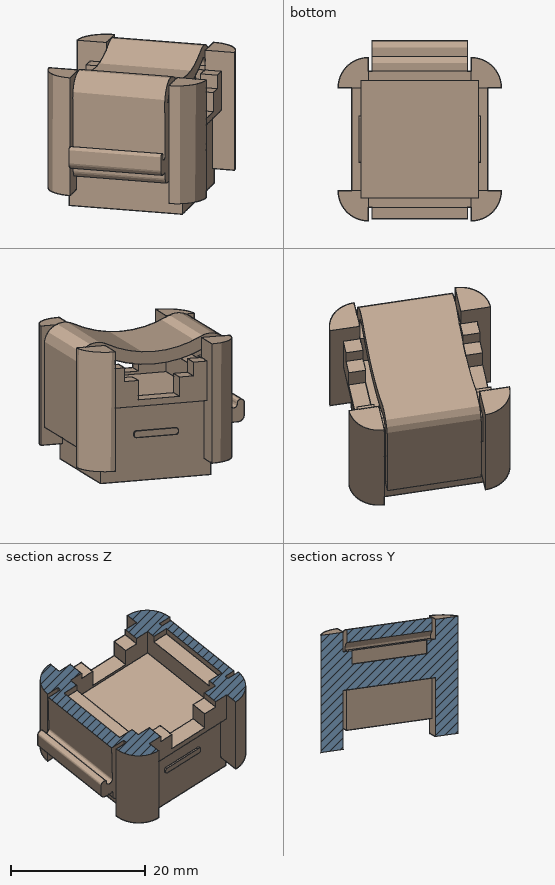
import cadquery as cq
import math

overall_width = 24.3
overall_length = 26.78

base_half = 8.73
latch_length = 6.95
latch_height = 1.02
latch_bottom = 6.61
latch_reach = 0.27
latch_corner = 0.37

collar_half = 10.12
collar_bottom = 11.68
collar_top = 17.7
cavity_half_x = 7.55
cavity_half_y = 7.63
cavity_floor = 12.25
step_level = 15.6
step_half_width = 5.44
notch_level = 12.67
notch_half_width = 3.27
end_notch_half_width = 6.15
cut_clearance = 0.27

post_corner = 7.63
post_outer = overall_width / 2
post_bottom = 2.55
post_top = 20.75

strap_width = 14.2
strap_top = 21.18
strap_thickness = 1.9
saddle_radius = 16.87
front_bend_y = -9.25
front_bend_radius = 3.32
back_bend_y = 8.65
back_bend_radius = 3.15
leg_bottom = 5.44
leg_foot_y = -12.27
leg_end_radius = 1.0

hook_outer_y = post_outer - overall_length
hook_bottom = 7.28
hook_corner_radius = 1.05
hook_tip_radius = 0.55
hook_tip_z = 10.15
groove_z = 10.05
groove_inner_y = -12.37


def block(half_x, half_y, bottom, top):
    """Box centred on the Z axis between two heights."""
    return cq.Workplane("XY").workplane(offset=bottom).rect(2 * half_x, 2 * half_y).extrude(top - bottom)


def across_strap(outline):
    """Extrude a closed YZ outline symmetrically over the strap width."""
    return outline.extrude(strap_width / 2, both=True)


def point_on(centre, radius, angle):
    """Point of a circle at an angle from its first axis."""
    return centre[0] + radius * math.cos(angle), centre[1] + radius * math.sin(angle)


def make_base():
    """Solid base with a low rounded latch bar on its -X and +X faces."""
    base = block(base_half, base_half, 0, collar_bottom)
    latches = block(base_half + latch_reach, latch_length / 2, latch_bottom, latch_bottom + latch_height)
    return base.union(latches.edges("|X").fillet(latch_corner))


def make_collar():
    """Open collar with stepped notches across X and plain notches across Y."""
    clear_top = collar_top + cut_clearance
    through = collar_half + cut_clearance
    return (
        block(collar_half, collar_half, collar_bottom, collar_top)
        .cut(block(cavity_half_x, cavity_half_y, cavity_floor, clear_top))
        .cut(block(through, step_half_width, step_level, clear_top))
        .cut(block(through, notch_half_width, notch_level, clear_top))
        .cut(block(end_notch_half_width, through, step_level, clear_top))
    )


def make_post(side_x, side_y):
    """Quarter cylinder whose square corner faces the Z axis."""
    radius = post_outer - post_corner
    centre_x = side_x * post_corner
    centre_y = side_y * post_corner
    arc_reach = radius * math.cos(math.pi / 4)
    return (
        cq.Workplane("XY")
        .workplane(offset=post_bottom)
        .moveTo(centre_x, centre_y)
        .lineTo(side_x * post_outer, centre_y)
        .threePointArc(
            (centre_x + side_x * arc_reach, centre_y + side_y * arc_reach),
            (centre_x, side_y * post_outer),
        )
        .close()
        .extrude(post_top - post_bottom)
    )


def make_strap():
    """Curved bridge and its two legs, hollowed out over the collar."""
    front = (front_bend_y, strap_top - front_bend_radius)
    back = (back_bend_y, strap_top - back_bend_radius)

    span = math.dist(front, back)
    to_front = saddle_radius + front_bend_radius
    to_back = saddle_radius + back_bend_radius
    base_angle = math.atan2(back[1] - front[1], back[0] - front[0])
    apex_angle = math.acos((to_front**2 + span**2 - to_back**2) / (2 * to_front * span))
    front_angle = base_angle + apex_angle
    saddle = point_on(front, to_front, front_angle)
    back_angle = math.atan2(saddle[1] - back[1], saddle[0] - back[0])

    def add_bridge(outline, inset):
        """Add front bend, saddle and back bend, set inwards from the outer surface."""
        front_radius = front_bend_radius - inset
        back_radius = back_bend_radius - inset
        return (
            outline
            .threePointArc(
                point_on(front, front_radius, (math.pi + front_angle) / 2),
                point_on(front, front_radius, front_angle),
            )
            .threePointArc(
                (saddle[0], saddle[1] - saddle_radius - inset),
                point_on(back, back_radius, back_angle),
            )
            .threePointArc(
                point_on(back, back_radius, back_angle / 2),
                (back[0] + back_radius, back[1]),
            )
        )

    back_outer_y = back_bend_y + back_bend_radius
    outer = cq.Workplane("YZ").moveTo(leg_foot_y, leg_bottom)
    outer = outer.lineTo(front[0] - front_bend_radius, front[1])
    outer = add_bridge(outer, 0).lineTo(back_outer_y, leg_bottom).close()

    hollow_front_y = front[0] - front_bend_radius + strap_thickness
    hollow_back_y = back_outer_y - strap_thickness
    hollow = cq.Workplane("YZ").moveTo(-collar_half, leg_bottom).lineTo(-collar_half, collar_top)
    hollow = hollow.lineTo(hollow_front_y, collar_top).lineTo(hollow_front_y, front[1])
    hollow = add_bridge(hollow, strap_thickness)
    hollow = hollow.lineTo(hollow_back_y, collar_top).lineTo(collar_half, collar_top)
    hollow = hollow.lineTo(collar_half, leg_bottom).close()

    strap = across_strap(outer).cut(across_strap(hollow))
    front_foot = strap.faces("<Z").edges("|X and <Y")
    return front_foot.fillet(leg_end_radius)


def make_hook():
    """Finger hook rooted inside the -Y leg, with a rounded groove behind its tip."""
    root_y = (leg_foot_y - collar_half) / 2
    tip_y = hook_outer_y + hook_tip_radius
    lip_y = tip_y + hook_tip_radius
    groove_y = (lip_y + groove_inner_y) / 2
    groove_radius = groove_inner_y - groove_y
    outline = (
        cq.Workplane("YZ")
        .moveTo(root_y, hook_bottom)
        .lineTo(hook_outer_y, hook_bottom)
        .lineTo(hook_outer_y, hook_tip_z)
        .threePointArc((tip_y, hook_tip_z + hook_tip_radius), (lip_y, hook_tip_z))
        .lineTo(lip_y, groove_z)
        .threePointArc((groove_y, groove_z - groove_radius), (groove_inner_y, groove_z))
        .lineTo(root_y, groove_z)
        .close()
    )
    return across_strap(outline).edges("|X and <Y and <Z").fillet(hook_corner_radius)


result = make_base().union(make_collar()).union(make_strap()).union(make_hook())
for side_x in (-1, 1):
    for side_y in (-1, 1):
        result = result.union(make_post(side_x, side_y))